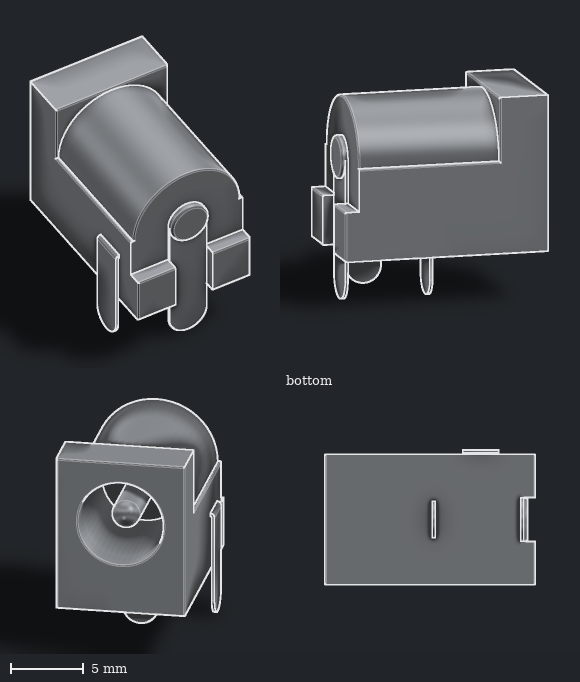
import cadquery as cq

edge_round = 0.1

housing_width = 9.0
housing_height = 11.0
flange_length = 3.5
body_end = 13.5
axis_height = 6.5
barrel_radius = 4.29

block_end = 14.5
block_height = 3.5

socket_diameter = 6.0
socket_depth = 8.99
pin_diameter = 1.95
pin_tip_inset = 1.25
pin_tip_flat_radius = 0.07

sheet = 0.2
terminal_drop = 3.5
rear_terminal_width = 3.0
rivet_head_end = 13.98
rivet_head_round = 0.17
middle_terminal_width = 2.5
middle_terminal_x = 7.4
side_terminal_width = 2.5
side_terminal_x = 9.5
side_terminal_top = 4.12
side_terminal_reach = 0.29
side_bend_radius = 0.29
terminal_embed = 0.44


def box(x_start, x_end, width, height):
    """Box centred on Y = 0 and standing on Z = 0."""
    length = x_end - x_start
    start = cq.Workplane("XY", origin=(x_start, 0, 0))
    return start.box(length, width, height, centered=(False, True, False))


def axial_cylinder(radius, x_start, x_end):
    """Cylinder along the plug axis."""
    start = cq.Workplane("YZ", origin=(x_start, 0, axis_height))
    return start.circle(radius).extrude(x_end - x_start)


def round_ended_strip(plane, width, top):
    """Flat strip one sheet thick, from the given top down to a full-round lower end."""
    radius = width / 2
    arc_height = radius - terminal_drop
    return (
        plane.moveTo(-radius, top)
        .lineTo(-radius, arc_height)
        .threePointArc((0, -terminal_drop), (radius, arc_height))
        .lineTo(radius, top)
        .close()
        .extrude(sheet)
    )


def make_flange():
    flange = box(0, flange_length, housing_width, housing_height)
    flange = flange.faces("<X").fillet(edge_round)
    return flange.faces(">X").edges(">Z or <Y or >Y").fillet(edge_round)


def make_body():
    body_start = flange_length - edge_round
    lower = box(body_start, body_end, housing_width, axis_height)
    lower = lower.faces(">Z").edges("|X").fillet(edge_round)
    barrel = axial_cylinder(barrel_radius, body_start, body_end)
    return lower.union(barrel.faces(">X").fillet(edge_round))


def make_rear_blocks():
    blocks = box(body_end, block_end, housing_width, block_height)
    blocks = blocks.faces(">X").fillet(edge_round)
    return blocks.cut(box(body_end, block_end, rear_terminal_width, block_height))


def cut_socket(housing):
    socket = axial_cylinder(socket_diameter / 2, 0, socket_depth)
    housing = housing.cut(socket)
    return housing.faces("<X").edges("%CIRCLE").fillet(edge_round)


def make_centre_pin():
    radius = pin_diameter / 2
    dome_round = radius - pin_tip_flat_radius
    pin = axial_cylinder(radius, pin_tip_inset, body_end)
    return pin.faces("<X").edges().fillet(dome_round)


def make_rear_terminal():
    radius = rear_terminal_width / 2
    plane = cq.Workplane("YZ", origin=(body_end, 0, 0))
    strip = round_ended_strip(plane, rear_terminal_width, axis_height)
    rivet = axial_cylinder(radius, body_end, rivet_head_end).faces(">X").edges().fillet(rivet_head_round)
    return strip.union(rivet)


def make_middle_terminal():
    plane = cq.Workplane("YZ", origin=(middle_terminal_x, 0, 0))
    return round_ended_strip(plane, middle_terminal_width, terminal_embed)


def make_side_terminal():
    outer_y = -housing_width / 2 - side_terminal_reach
    bend_z = side_terminal_top - side_bend_radius
    bend_y = outer_y + side_bend_radius
    centre_x = side_terminal_x + side_terminal_width / 2
    plane = cq.Workplane("XZ", origin=(centre_x, outer_y + sheet, 0))
    strip = round_ended_strip(plane, side_terminal_width, bend_z)
    bend = (
        cq.Workplane("YZ", origin=(side_terminal_x, 0, 0))
        .moveTo(outer_y, bend_z)
        .radiusArc((bend_y, side_terminal_top), side_bend_radius)
        .lineTo(bend_y + terminal_embed, side_terminal_top)
        .lineTo(bend_y + terminal_embed, side_terminal_top - sheet)
        .lineTo(bend_y, side_terminal_top - sheet)
        .radiusArc((outer_y + sheet, bend_z), -(side_bend_radius - sheet))
        .close()
        .extrude(side_terminal_width)
    )
    return strip.union(bend)


housing = cut_socket(make_flange().union(make_body()).union(make_rear_blocks()))
result = (
    housing.union(make_centre_pin())
    .union(make_rear_terminal())
    .union(make_middle_terminal())
    .union(make_side_terminal())
)